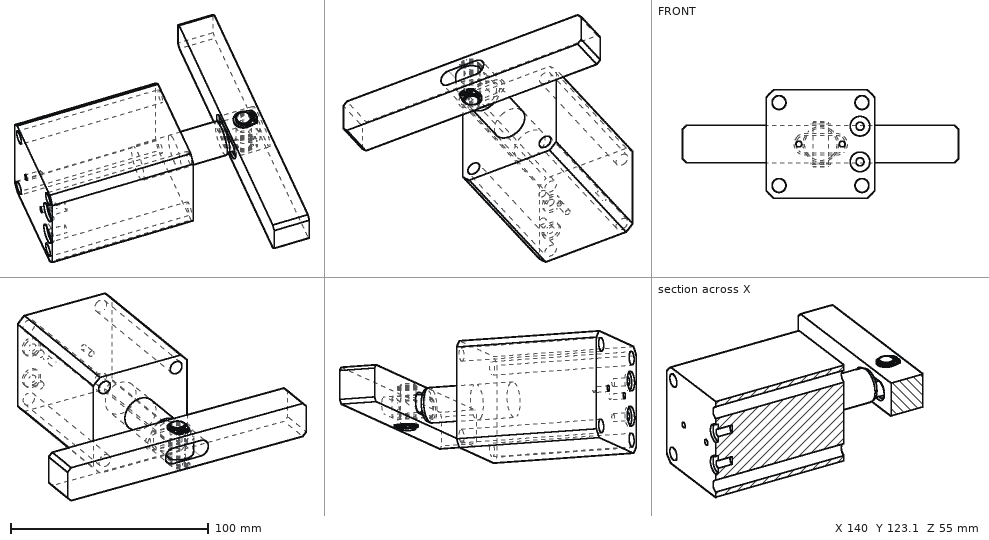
import cadquery as cq
import math


HOUSING_SIDE = 55.0
HOUSING_LENGTH = 76.2
CORNER_RADIUS = 36.3
MOUNT_HOLE_DIAMETER = 6.9
MOUNT_HOLE_SPACING = 42.0
PORT_X = 20.0
PORT_SPACING = 18.0
PORT_RECESS_DIAMETER = 10.0
PORT_RECESS_DEPTH = 1.5
PORT_HOLE_DIAMETER = 4.0
PORT_HOLE_DEPTH = 9.8
PILOT_HOLE_SPACING = 22.0
PILOT_HOLE_DIAMETER = 3.0
PILOT_HOLE_DEPTH = 8.0
DRILL_POINT_ANGLE = 118.0

BAR_LENGTH = 140.0
BAR_SIDE = 19.0
BAR_CHAMFER = 2.1
BAR_START = 27.9
BAR_SLOT_WIDTH = 25.0
BAR_SLOT_HEIGHT = 9.0
SLOT_CHAMFER = 1.0

ROD_DIAMETER = 18.0
ROD_DEPTH_IN_HOUSING = 20.0
ROD_CHAMFER_LENGTH = 1.7
ROD_CHAMFER_WIDTH = 0.8
SHOULDER_GAP = 1.0
TONGUE_THICKNESS = BAR_SLOT_HEIGHT

PIN_DIAMETER = 8.0
PIN_LENGTH = 23.1
PIN_CHAMFER = 0.4
GROOVE_DIAMETER = 7.0
RING_THICKNESS = 0.7
RING_BOTTOM = 5.2
RING_HALF_WIDTH = 4.9
RING_LUG_RADIUS = 7.0
RING_LUG_HALF_WIDTH = 3.9
RING_LUG_ROOT = 0.8
RING_GAP = 1.4
LUG_HOLE_DIAMETER = 1.5
LUG_HOLE_X = 2.2
LUG_HOLE_Y = 5.0

PIN_Y = BAR_START + BAR_SIDE / 2
SHOULDER_Y = BAR_START - SHOULDER_GAP
TONGUE_DIAMETER = ROD_DIAMETER - 2 * ROD_CHAMFER_WIDTH


def rod_along_y(diameter, start, length, x=0, z=0):
    """Cylinder parallel to Y, running from start towards +Y."""
    return cq.Workplane(cq.Solid.makeCylinder(
        diameter / 2, length, cq.Vector(x, start, z), cq.Vector(0, 1, 0)))


def rod_along_z(diameter, start, length, x=0, y=PIN_Y):
    """Cylinder parallel to Z, running from start towards +Z."""
    return cq.Workplane(cq.Solid.makeCylinder(
        diameter / 2, length, cq.Vector(x, y, start), cq.Vector(0, 0, 1)))


def drilled_hole(x):
    """Blind pilot hole with a drill point, cut from the front face."""
    radius = PILOT_HOLE_DIAMETER / 2
    point_length = radius / math.tan(math.radians(DRILL_POINT_ANGLE / 2))
    hole = rod_along_y(PILOT_HOLE_DIAMETER, -HOUSING_LENGTH, PILOT_HOLE_DEPTH, x)
    point = cq.Workplane(cq.Solid.makeCone(
        radius, 0, point_length,
        cq.Vector(x, PILOT_HOLE_DEPTH - HOUSING_LENGTH, 0), cq.Vector(0, 1, 0)))
    return hole.union(point)


def make_housing():
    block = cq.Workplane("XY").box(HOUSING_SIDE, HOUSING_LENGTH, HOUSING_SIDE)
    block = block.translate((0, -HOUSING_LENGTH / 2, 0))
    body = block.intersect(rod_along_y(2 * CORNER_RADIUS, -HOUSING_LENGTH, HOUSING_LENGTH))
    for x_side in (-1, 1):
        for z_side in (-1, 1):
            x = x_side * MOUNT_HOLE_SPACING / 2
            z = z_side * MOUNT_HOLE_SPACING / 2
            body = body.cut(rod_along_y(MOUNT_HOLE_DIAMETER, -HOUSING_LENGTH, HOUSING_LENGTH, x, z))
    for side in (-1, 1):
        z = side * PORT_SPACING / 2
        body = body.cut(rod_along_y(PORT_RECESS_DIAMETER, -HOUSING_LENGTH, PORT_RECESS_DEPTH, PORT_X, z))
        body = body.cut(rod_along_y(PORT_HOLE_DIAMETER, -HOUSING_LENGTH, PORT_HOLE_DEPTH, PORT_X, z))
        body = body.cut(drilled_hole(side * PILOT_HOLE_SPACING / 2))
    return body.cut(rod_along_y(ROD_DIAMETER, -ROD_DEPTH_IN_HOUSING, ROD_DEPTH_IN_HOUSING))


def make_bar():
    bar = cq.Workplane("XY").box(BAR_LENGTH, BAR_SIDE, BAR_SIDE).edges("|Y").chamfer(BAR_CHAMFER)
    slot = cq.Workplane("XZ").slot2D(BAR_SLOT_WIDTH, BAR_SLOT_HEIGHT).extrude(BAR_SIDE / 2, both=True)
    bar = bar.cut(slot)
    mouth = (
        cq.Workplane("XZ", origin=(0, SLOT_CHAMFER - BAR_SIDE / 2, 0))
        .slot2D(BAR_SLOT_WIDTH, BAR_SLOT_HEIGHT)
        .extrude(SLOT_CHAMFER, taper=-45)
    )
    bar = bar.cut(mouth).translate((0, PIN_Y, 0))
    return bar.cut(rod_along_z(PIN_DIAMETER, -BAR_SIDE / 2, BAR_SIDE))


def make_rod():
    """Piston rod with a flat tongue, rounded about the pin at its tip."""
    shank = rod_along_y(ROD_DIAMETER, -ROD_DEPTH_IN_HOUSING, SHOULDER_Y + ROD_DEPTH_IN_HOUSING)
    shank = shank.faces(">Y").chamfer(ROD_CHAMFER_LENGTH, ROD_CHAMFER_WIDTH)
    tongue_blank = rod_along_y(TONGUE_DIAMETER, SHOULDER_Y, PIN_Y + TONGUE_DIAMETER / 2 - SHOULDER_Y)
    straight_length = PIN_Y - SHOULDER_Y
    flats = cq.Workplane("XY").box(TONGUE_DIAMETER, straight_length, TONGUE_THICKNESS)
    flats = flats.translate((0, SHOULDER_Y + straight_length / 2, 0))
    flats = flats.union(rod_along_z(TONGUE_DIAMETER, -TONGUE_THICKNESS / 2, TONGUE_THICKNESS))
    rod = shank.union(tongue_blank.intersect(flats))
    return rod.cut(rod_along_z(PIN_DIAMETER, -TONGUE_THICKNESS / 2, TONGUE_THICKNESS))


def ring_bottom(side):
    """Lower Z of the ring seated against the top (1) or bottom (-1) of the bar."""
    return side * (BAR_SIDE + RING_THICKNESS) / 2 - RING_THICKNESS / 2


def make_pin():
    pin = rod_along_z(PIN_DIAMETER, -PIN_LENGTH / 2, PIN_LENGTH)
    pin = pin.faces("<Z or >Z").chamfer(PIN_CHAMFER)
    for side in (-1, 1):
        collar = rod_along_z(PIN_DIAMETER, ring_bottom(side), RING_THICKNESS)
        core = rod_along_z(GROOVE_DIAMETER, ring_bottom(side), RING_THICKNESS)
        pin = pin.cut(collar.cut(core))
    return pin


def make_ring(side):
    """Open retaining ring with two lugs pointing to +Y, seated in a pin groove."""
    z = ring_bottom(side)
    lug_end_y = math.sqrt(RING_LUG_RADIUS ** 2 - RING_LUG_HALF_WIDTH ** 2)
    outline = (
        cq.Workplane("XY", origin=(0, PIN_Y, z))
        .moveTo(RING_HALF_WIDTH, RING_LUG_ROOT)
        .lineTo(RING_LUG_HALF_WIDTH, lug_end_y)
        .threePointArc((0, RING_LUG_RADIUS), (-RING_LUG_HALF_WIDTH, lug_end_y))
        .lineTo(-RING_HALF_WIDTH, RING_LUG_ROOT)
        .threePointArc((0, -RING_BOTTOM), (RING_HALF_WIDTH, RING_LUG_ROOT))
        .close()
    )
    ring = outline.extrude(RING_THICKNESS)
    ring = ring.cut(rod_along_z(GROOVE_DIAMETER, z, RING_THICKNESS))
    gap = cq.Workplane("XY").box(RING_GAP, RING_LUG_RADIUS, RING_THICKNESS, centered=(True, False, False))
    ring = ring.cut(gap.translate((0, PIN_Y, z)))
    for x in (-LUG_HOLE_X, LUG_HOLE_X):
        ring = ring.cut(rod_along_z(LUG_HOLE_DIAMETER, z, RING_THICKNESS, x, PIN_Y + LUG_HOLE_Y))
    return ring


housing = make_housing()
bar = make_bar()
rod = make_rod()
pin = make_pin()
rings = [make_ring(side) for side in (-1, 1)]

result = cq.Compound.makeCompound(
    [housing.val(), bar.val(), rod.val(), pin.val(), *[ring.val() for ring in rings]]
)